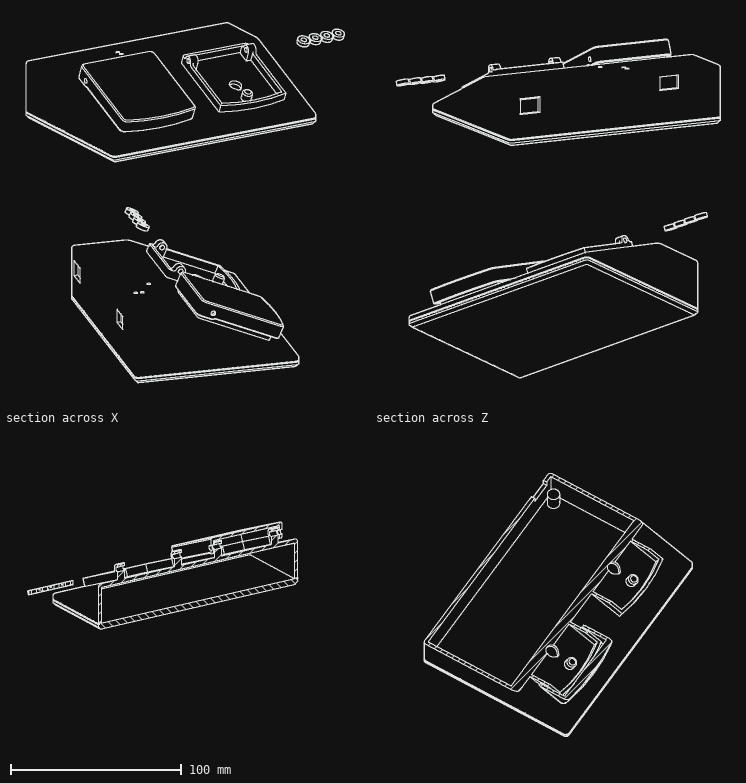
import cadquery as cq
import math

HOUSING_LENGTH = 100.0
HOUSING_WIDTH = 140.0
HOUSING_TOP = 35.5
FLAT_TOP_LENGTH = 34.5
SLOPE_ANGLE = 23.5
WALL = 2.5
EDGE_RADIUS = 2.0
CREST_RADIUS = 10.0

BASE_HEIGHT = 3.4
BASE_CHAMFER = 1.9
SEAM_GAP = 0.5
SEAM_DEPTH = 1.0
POST_DIAMETER = 7.4
POST_TOP = 13.8
POST_EDGE_DISTANCE = 7.5

BACK_WINDOWS = [
    (56.5, 23.2, 13.0, 9.5),
    (-35.5, 28.0, 12.3, 8.1),
]

LAMP_DIAMETER = 2.0
LAMP_HOLES = [(15.5, -15.5), (19.5, -15.5), (26.8, -3.5)]

TRAY_SPACING = 67.9
TRAY_WIDTH = 44.9
TRAY_START = 8.0
TRAY_LENGTH = 47.3
TRAY_BULGE = 2.5
TRAY_HEIGHT = 4.9
TRAY_WALL = 1.9
TRAY_CORNER_RADIUS = 1.9

CABLE_HOLE_U = 35.6
CABLE_HOLE_DIAMETER = 7.4
CABLE_HOLE_TIP = 4.5

STUD_U = 48.5
STUD_DIAMETER = 6.0
STUD_HEIGHT = 5.3
STUD_CHAMFER = 1.0

HINGE_U = 14.7
HINGE_W = 6.0
HINGE_HOLE_DIAMETER = 2.8
LUG_DIAMETER = 6.0
LUG_WIDTH = 5.0
LUG_FILLET = 1.5

LID_START = 5.7
LID_WIDTH = 50.0
LID_LENGTH = 54.0
LID_BULGE = 2.6
LID_BOTTOM = 3.0
LID_HINGE_BOTTOM = 2.0
LID_TOP = 11.7
LID_CORNER_RADIUS = 3.0
LID_WALL = 2.0
LID_EDGE_CHAMFER = 0.8
LID_LIP_CHAMFER = 0.47

SPACER_COUNT = 4
SPACER_DIAMETER = 7.4
SPACER_HOLE = 3.2
SPACER_THICKNESS = 2.5
SPACER_PITCH = 8.0
SPACER_U = 14.9
SPACER_BOTTOM = 3.0
LINK_WIDTH = 2.3
LINK_THICKNESS = 1.5

TOTAL_LENGTH = 188.6
SEAM_TOP = BASE_HEIGHT + SEAM_GAP
SLOPE_DROP = (HOUSING_LENGTH - FLAT_TOP_LENGTH) * math.tan(math.radians(SLOPE_ANGLE))
NOSE_HEIGHT = HOUSING_TOP - SLOPE_DROP
TRAY_CENTRES = (TRAY_SPACING / 2, -TRAY_SPACING / 2)
LID_CENTRE_V = -TRAY_SPACING / 2
STRIP_END_V = TOTAL_LENGTH - HOUSING_WIDTH / 2
LUG_RADIUS = LUG_DIAMETER / 2
SELECT_MARGIN = 0.2


def on_slope(body, v=0.0):
    """Moves a body from slope coordinates (u, v, w) onto the sloping face."""
    turned = body.rotate((0, 0, 0), (0, 1, 0), SLOPE_ANGLE)
    return turned.translate((FLAT_TOP_LENGTH, v, HOUSING_TOP))


def disc(diameter, u, bottom, top):
    """Cylinder standing on the slope."""
    plane = cq.Workplane("XY", origin=(u, 0, bottom))
    return plane.circle(diameter / 2).extrude(top - bottom)


def hinge_cylinder(diameter, width):
    """Cylinder along the hinge axis, centred at v = 0."""
    plane = cq.Workplane("XZ", origin=(HINGE_U, 0, HINGE_W))
    return plane.circle(diameter / 2).extrude(width / 2, both=True)


def bulged_block(start, length, width, bulge, bottom, top):
    """Rectangular block whose lower end bows outwards."""
    half = width / 2
    end = start + length
    return (
        cq.Workplane("XY", origin=(0, 0, bottom))
        .moveTo(start, half)
        .lineTo(start, -half)
        .lineTo(end, -half)
        .threePointArc((end + bulge, 0), (end, half))
        .close()
        .extrude(top - bottom)
    )


def housing_profile(bottom):
    return [
        (0, bottom),
        (0, HOUSING_TOP),
        (FLAT_TOP_LENGTH, HOUSING_TOP),
        (HOUSING_LENGTH, NOSE_HEIGHT),
        (HOUSING_LENGTH, bottom),
    ]


def housing_shell():
    outer = (
        cq.Workplane("XZ")
        .polyline(housing_profile(SEAM_TOP))
        .close()
        .extrude(HOUSING_WIDTH / 2, both=True)
    )
    crest = cq.selectors.NearestToPointSelector((FLAT_TOP_LENGTH, 0, HOUSING_TOP))
    outer = outer.edges("|Y").edges(crest).fillet(CREST_RADIUS)
    bottom_edges = cq.selectors.BoxSelector(
        (-1.9, -HOUSING_WIDTH, SEAM_TOP - SELECT_MARGIN),
        (HOUSING_LENGTH + 1.9, HOUSING_WIDTH, SEAM_TOP + SELECT_MARGIN),
    )
    outer = (
        outer.edges("|Z or <X or >X or #Y")
        .edges(cq.selectors.InverseSelector(bottom_edges))
        .fillet(EDGE_RADIUS)
    )
    cavity = (
        cq.Workplane("XZ")
        .polyline(housing_profile(SEAM_TOP - WALL))
        .close()
        .offset2D(-WALL)
        .extrude(HOUSING_WIDTH / 2 - WALL, both=True)
    )
    return outer.cut(cavity)


def back_window(y, z, width, height):
    return cq.Workplane("XY").box(4 * WALL, width, height).translate((0, y, z))


def lamp_hole(x, y):
    plane = cq.Workplane("XY", origin=(x, y, HOUSING_TOP - 2 * WALL))
    return plane.circle(LAMP_DIAMETER / 2).extrude(4 * WALL)


def lug_foot(side, width):
    """Concave fillet that blends a lug into the tray rim on one side of the hinge."""
    centre_w = TRAY_HEIGHT + LUG_FILLET
    rise = centre_w - HINGE_W
    reach = math.sqrt((LUG_RADIUS + LUG_FILLET) ** 2 - rise ** 2)
    centre_u = HINGE_U + side * reach
    share = LUG_RADIUS / (LUG_RADIUS + LUG_FILLET)
    touch = (HINGE_U + side * reach * share, HINGE_W + rise * share)
    plane = cq.Workplane("XZ")
    wedge = (
        plane.moveTo(HINGE_U, 0)
        .lineTo(HINGE_U, HINGE_W)
        .lineTo(*touch)
        .lineTo(centre_u, TRAY_HEIGHT)
        .lineTo(centre_u, 0)
        .close()
        .extrude(width / 2, both=True)
    )
    hollow = plane.center(centre_u, centre_w).circle(LUG_FILLET).extrude(width / 2, both=True)
    return wedge.cut(hollow)


def hinge_lug(side):
    """Hinge lug at one end of a tray; side is the sign of its v."""
    column = (
        cq.Workplane("XY")
        .box(LUG_DIAMETER, LUG_WIDTH, HINGE_W, centered=(True, True, False))
        .translate((HINGE_U, 0, 0))
    )
    rim_shift = side * (LUG_WIDTH - TRAY_WALL) / 2
    lug = (
        column.union(hinge_cylinder(LUG_DIAMETER, LUG_WIDTH))
        .union(lug_foot(-1, LUG_WIDTH))
        .union(lug_foot(1, TRAY_WALL).translate((0, rim_shift, 0)))
    )
    return lug.translate((0, side * (TRAY_WIDTH - LUG_WIDTH) / 2, 0))


def stud():
    body = disc(STUD_DIAMETER, STUD_U, -WALL / 2, STUD_HEIGHT)
    return body.faces(">Z").chamfer(STUD_CHAMFER)


def tray():
    sunk = -WALL / 2
    rim = bulged_block(TRAY_START, TRAY_LENGTH, TRAY_WIDTH, TRAY_BULGE, sunk, TRAY_HEIGHT)
    rim = rim.edges("|Z and <X").fillet(TRAY_CORNER_RADIUS)
    inside = bulged_block(
        TRAY_START + TRAY_WALL,
        TRAY_LENGTH - 2 * TRAY_WALL,
        TRAY_WIDTH - 2 * TRAY_WALL,
        TRAY_BULGE,
        sunk,
        TRAY_HEIGHT,
    )
    body = rim.cut(inside).union(hinge_lug(1)).union(hinge_lug(-1)).union(stud())
    return body.cut(hinge_cylinder(HINGE_HOLE_DIAMETER, LID_WIDTH))


def cable_hole():
    """Teardrop hole through the roof, its blunt tip pointing down the slope."""
    radius = CABLE_HOLE_DIAMETER / 2
    flank = radius * math.sqrt(0.5)
    tip_half = radius * math.sqrt(2) - CABLE_HOLE_TIP
    return (
        cq.Workplane("XY", origin=(CABLE_HOLE_U, 0, -2 * WALL))
        .moveTo(flank, flank)
        .threePointArc((-radius, 0), (flank, -flank))
        .lineTo(CABLE_HOLE_TIP, -tip_half)
        .lineTo(CABLE_HOLE_TIP, tip_half)
        .close()
        .extrude(3 * WALL)
    )


def make_housing():
    body = housing_shell()
    for window in BACK_WINDOWS:
        body = body.cut(back_window(*window))
    for lamp in LAMP_HOLES:
        body = body.cut(lamp_hole(*lamp))
    for v in TRAY_CENTRES:
        body = body.union(on_slope(tray(), v))
        body = body.cut(on_slope(cable_hole(), v))
    return body


def make_base():
    middle = HOUSING_LENGTH / 2
    post_y = HOUSING_WIDTH / 2 - POST_EDGE_DISTANCE
    plate = (
        cq.Workplane("XY", origin=(middle, 0, 0))
        .rect(HOUSING_LENGTH, HOUSING_WIDTH)
        .extrude(BASE_HEIGHT)
        .edges("|Z")
        .fillet(EDGE_RADIUS)
        .faces("<Z")
        .chamfer(BASE_CHAMFER)
    )
    step = (
        cq.Workplane("XY", origin=(middle, 0, BASE_HEIGHT))
        .rect(HOUSING_LENGTH - 2 * SEAM_DEPTH, HOUSING_WIDTH - 2 * SEAM_DEPTH)
        .extrude(SEAM_GAP)
    )
    post = (
        cq.Workplane("XY", origin=(POST_EDGE_DISTANCE, post_y, BASE_HEIGHT))
        .circle(POST_DIAMETER / 2)
        .extrude(POST_TOP - BASE_HEIGHT)
    )
    return plate.union(step).union(post)


def lid_outside():
    """Lid without its cavity: lower around the hinge than along the rest of its rim."""
    block = bulged_block(LID_START, LID_LENGTH, LID_WIDTH, LID_BULGE, LID_HINGE_BOTTOM, LID_TOP)
    block = block.edges("|Z").fillet(LID_CORNER_RADIUS)
    cheek = hinge_cylinder(2 * (HINGE_W - LID_HINGE_BOTTOM), LID_WIDTH)
    relief = (
        cq.Workplane("XY")
        .box(LID_LENGTH, LID_WIDTH, LID_BOTTOM, centered=(False, True, False))
        .translate((HINGE_U, 0, 0))
        .cut(cheek)
    )
    block = block.cut(relief)
    block = block.faces(">Z").chamfer(LID_EDGE_CHAMFER)
    cross_edges = cq.selectors.BoxSelector(
        (HINGE_U - SELECT_MARGIN, -SELECT_MARGIN, 0),
        (HINGE_U + LUG_DIAMETER, SELECT_MARGIN, LID_BOTTOM + SELECT_MARGIN),
    )
    lip = cq.selectors.BoxSelector(
        (0, -LID_WIDTH, 0), (2 * LID_LENGTH, LID_WIDTH, LID_BOTTOM + SELECT_MARGIN)
    )
    return block.edges(cq.selectors.SubtractSelector(lip, cross_edges)).chamfer(LID_LIP_CHAMFER)


def make_lid():
    cavity = bulged_block(
        LID_START + LID_WALL,
        LID_LENGTH - 2 * LID_WALL,
        LID_WIDTH - 2 * LID_WALL,
        LID_BULGE,
        LID_HINGE_BOTTOM,
        LID_TOP - LID_WALL,
    )
    body = lid_outside().cut(cavity).cut(hinge_cylinder(HINGE_HOLE_DIAMETER, LID_WIDTH))
    return on_slope(body, LID_CENTRE_V)


def make_spacer_strip():
    top = SPACER_BOTTOM + SPACER_THICKNESS
    first_v = STRIP_END_V - SPACER_DIAMETER / 2
    span = (SPACER_COUNT - 1) * SPACER_PITCH
    strip = (
        cq.Workplane("XY")
        .box(LINK_WIDTH, span, LINK_THICKNESS, centered=(True, True, False))
        .translate((SPACER_U, first_v - span / 2, SPACER_BOTTOM))
    )
    centres = [first_v - i * SPACER_PITCH for i in range(SPACER_COUNT)]
    for v in centres:
        strip = strip.union(disc(SPACER_DIAMETER, SPACER_U, SPACER_BOTTOM, top).translate((0, v, 0)))
    for v in centres:
        strip = strip.cut(disc(SPACER_HOLE, SPACER_U, SPACER_BOTTOM, top).translate((0, v, 0)))
    return on_slope(strip)


housing = make_housing()
base = make_base()
lid = make_lid()
spacer_strip = make_spacer_strip()

result = cq.Compound.makeCompound([housing.val(), base.val(), lid.val(), spacer_strip.val()])